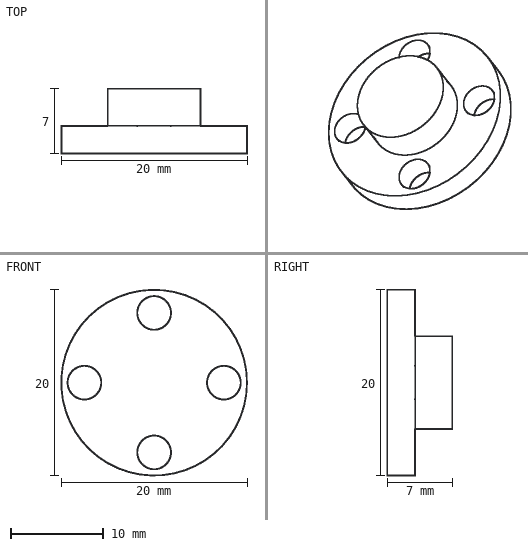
import cadquery as cq

flange_diameter = 20.0
flange_thickness = 3.0
boss_diameter = 10.0
total_length = 7.0
bolt_hole_diameter = 3.6
bolt_circle_diameter = 15.0
bolt_hole_count = 4

boss_length = total_length - flange_thickness


def cylinder_along_y(diameter, start_y, length):
    """Solid cylinder centred on the Y axis, growing toward +Y from start_y."""
    return cq.Workplane("XZ", origin=(0, start_y, 0)).circle(diameter / 2).extrude(-length)


def bolt_holes():
    """Cutters for the through holes, evenly spaced on the bolt circle."""
    return (
        cq.Workplane("XZ")
        .polarArray(bolt_circle_diameter / 2, 0, 360, bolt_hole_count)
        .circle(bolt_hole_diameter / 2)
        .extrude(-flange_thickness)
    )


flange = cylinder_along_y(flange_diameter, 0, flange_thickness).cut(bolt_holes())
boss = cylinder_along_y(boss_diameter, flange_thickness, boss_length)

result = flange.union(boss)